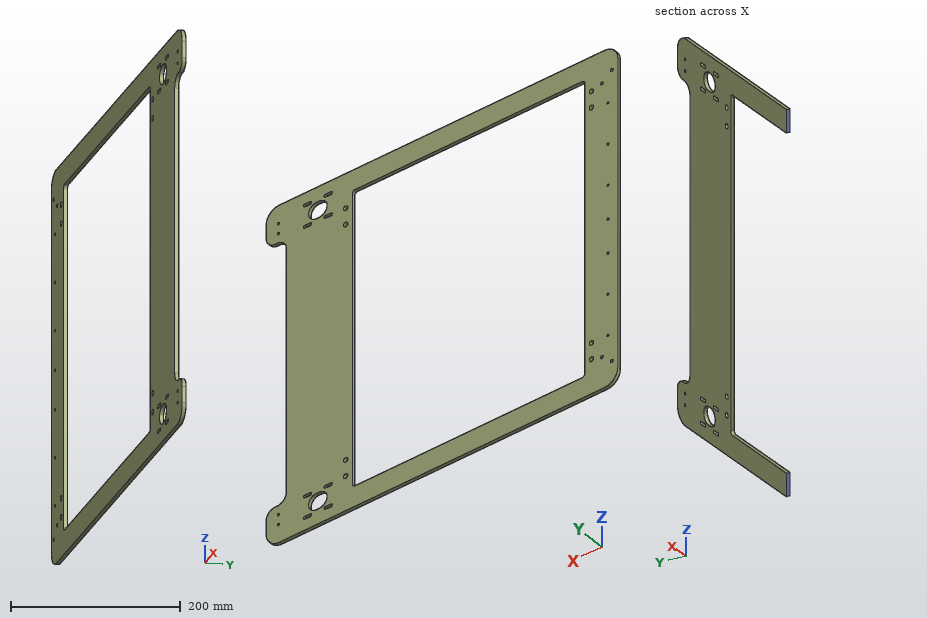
import cadquery as cq

LENGTH = 530.0
HEIGHT = 495.0
THICKNESS = 5.0
OUTER_RADIUS = 20.0

NOTCH_DEPTH = 30.0
NOTCH_RADIUS = 14.0
LUG_HEIGHT = 54.5

WINDOW_LEFT = 50.0
WINDOW_LENGTH = 350.5
WINDOW_HEIGHT = 434.5
WINDOW_RADIUS = 4.0

MOUNT_FROM_RIGHT = 78.0
MOUNT_Z = 213.5
MOUNT_LENGTH = 27.5
MOUNT_HEIGHT = 24.0
SLOT_PITCH = 31.5
SLOT_LENGTH = 12.0
SLOT_WIDTH = 3.5

SIDE_HOLE_DIAMETER = 6.5
SIDE_HOLE_GAP = 10.0
SIDE_HOLE_HEIGHTS = (173.0, 196.5)

CORNER_HOLE_DIAMETER = 4.0
CORNER_HOLES = ((9.0, MOUNT_Z), (24.0, 201.0))

LUG_HOLE_DIAMETER = 3.0
LUG_HOLE_FROM_RIGHT = 18.5
LUG_HOLE_PITCH = 15.0

RAIL_HOLE_DIAMETER = 2.9
RAIL_HOLE_FROM_LEFT = 15.0
RAIL_HOLE_PITCH = 60.5
RAIL_INNER_PITCH = 50.0
RAIL_MIDDLE_Z = -2.5

LEFT = -LENGTH / 2
RIGHT = LENGTH / 2
MOUNT_X = RIGHT - MOUNT_FROM_RIGHT
WINDOW_RIGHT = LEFT + WINDOW_LEFT + WINDOW_LENGTH


def sketch_plane():
    """XZ workplane on the back face, extruding toward -Y."""
    return cq.Workplane("XZ", origin=(0, THICKNESS / 2, 0))


def rounded_block(x_min, x_max, height, radius):
    """Block through the plate thickness with rounded corners."""
    return (
        sketch_plane()
        .center((x_min + x_max) / 2, 0)
        .rect(x_max - x_min, height)
        .extrude(THICKNESS)
        .edges("|Y")
        .fillet(radius)
    )


def drill(points, diameter):
    """Cylinders through the plate at the given (x, z) points."""
    return sketch_plane().pushPoints(points).circle(diameter / 2).extrude(THICKNESS)


def mirrored(points):
    """The given (x, z) points together with their copies below the middle."""
    return [(x, side * z) for x, z in points for side in (1, -1)]


def notch():
    """Notch with concave inner corners and short flats leading to the convex lug corners."""
    half_height = HEIGHT / 2 - LUG_HEIGHT
    convex_end_x = RIGHT - NOTCH_RADIUS
    floor_x = RIGHT - NOTCH_DEPTH
    concave_end_x = floor_x + NOTCH_RADIUS
    lower, upper = -half_height, half_height
    return (
        sketch_plane()
        .moveTo(RIGHT, upper + NOTCH_RADIUS)
        .radiusArc((convex_end_x, upper), NOTCH_RADIUS)
        .lineTo(concave_end_x, upper)
        .radiusArc((floor_x, upper - NOTCH_RADIUS), -NOTCH_RADIUS)
        .lineTo(floor_x, lower + NOTCH_RADIUS)
        .radiusArc((concave_end_x, lower), -NOTCH_RADIUS)
        .lineTo(convex_end_x, lower)
        .radiusArc((RIGHT, lower - NOTCH_RADIUS), NOTCH_RADIUS)
        .close()
        .extrude(THICKNESS)
    )


def mount_slots():
    """Four slots on a square pitch around each motor opening."""
    half_pitch = SLOT_PITCH / 2
    points = [
        (MOUNT_X + side * half_pitch, MOUNT_Z + level * half_pitch)
        for side in (1, -1)
        for level in (1, -1)
    ]
    return (
        sketch_plane()
        .pushPoints(mirrored(points))
        .slot2D(SLOT_LENGTH, SLOT_WIDTH)
        .extrude(THICKNESS)
    )


def side_holes():
    """Pairs of holes close to the window's left and right edges."""
    columns = (LEFT + WINDOW_LEFT - SIDE_HOLE_GAP, WINDOW_RIGHT + SIDE_HOLE_GAP)
    points = [(x, z) for x in columns for z in SIDE_HOLE_HEIGHTS]
    return drill(mirrored(points), SIDE_HOLE_DIAMETER)


def corner_holes():
    points = [(LEFT + offset, z) for offset, z in CORNER_HOLES]
    return drill(mirrored(points), CORNER_HOLE_DIAMETER)


def lug_holes():
    x = RIGHT - LUG_HOLE_FROM_RIGHT
    points = [(x, MOUNT_Z + side * LUG_HOLE_PITCH / 2) for side in (1, -1)]
    return drill(mirrored(points), LUG_HOLE_DIAMETER)


def rail_holes():
    """A middle hole, then three holes above and three below at growing distance."""
    x = LEFT + RAIL_HOLE_FROM_LEFT
    points = [(x, RAIL_MIDDLE_Z)]
    for step in range(3):
        distance = RAIL_INNER_PITCH + step * RAIL_HOLE_PITCH
        points += [(x, RAIL_MIDDLE_Z + distance), (x, RAIL_MIDDLE_Z - distance)]
    return drill(points, RAIL_HOLE_DIAMETER)


plate = rounded_block(LEFT, RIGHT, HEIGHT, OUTER_RADIUS)
window = rounded_block(LEFT + WINDOW_LEFT, WINDOW_RIGHT, WINDOW_HEIGHT, WINDOW_RADIUS)
mount_openings = (
    sketch_plane()
    .pushPoints(mirrored([(MOUNT_X, MOUNT_Z)]))
    .slot2D(MOUNT_LENGTH, MOUNT_HEIGHT)
    .extrude(THICKNESS)
)

result = (
    plate.cut(window)
    .cut(notch())
    .cut(mount_openings)
    .cut(mount_slots())
    .cut(side_holes())
    .cut(corner_holes())
    .cut(lug_holes())
    .cut(rail_holes())
)